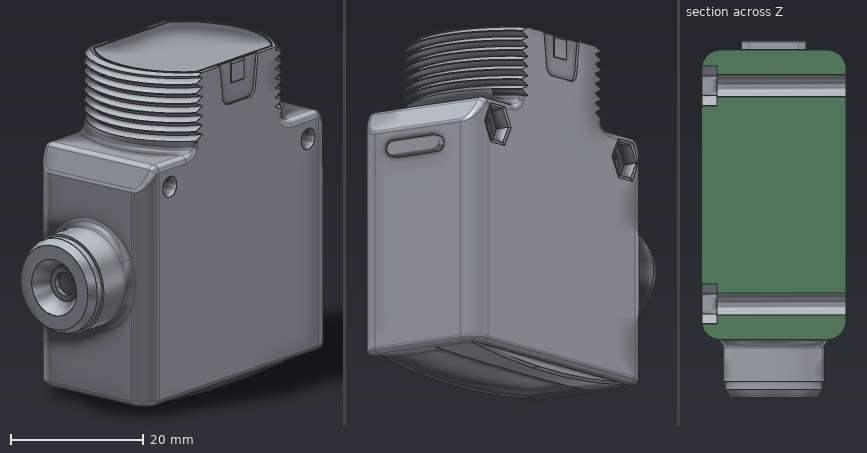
import cadquery as cq
import math

WIDTH = 22.0
LENGTH = 44.0
SHOULDER_Z = 37.85
SLOPE_ANGLE = 30.0
SLOPE_HEIGHT = 3.8
CORNER_RADIUS = 3.0
SHOULDER_RADIUS = 1.1
BOTTOM_RADIUS = 0.8

TOP_Z = 50.3
THREAD_RADIUS = 15.0
THREAD_PITCH = 1.5
THREAD_DEPTH = 0.95
THREAD_START_Z = 39.5
THREAD_CREST = 0.15
NECK_FILLET = 1.0
TOP_CHAMFER = 0.6

THREAD_HALF_TURNS = 14
GROOVE_START_ANGLE = 270.0
GROOVE_START_Z = 40.26
GROOVE_HALF_SPAN = 60.0
GROOVE_CLEARANCE = 0.08
RUN_IN_START_ANGLE = 120.0
RUN_IN_END_ANGLE = 150.0

CAP_RADIUS = 13.45
CAP_WIDTH = 20.0
SEAM = 0.12

POCKET_TOP_WIDTH = 9.1
POCKET_TAPER = 7.0
POCKET_HEIGHT = 6.5
POCKET_DEPTH = 0.4
POCKET_RADIUS = 1.5
TAB_WIDTH = 3.0
TAB_TOP_DROP = 0.35
TAB_BOTTOM_DROP = 3.35
TAB_HEIGHT = 0.2

HOLE_Y = 16.52
HOLE_Z = 34.0
HOLE_DIAMETER = 3.3
NUT_MOUTH_FLATS = 6.1
NUT_FLATS = 5.2
NUT_CHAMFER_DEPTH = 0.15
NUT_DEPTH = 2.4

CONNECTOR_Z = 19.25
CONNECTOR_RADIUS = 7.75
CONNECTOR_LENGTH = 6.3
TIP_RADIUS = 7.4
TIP_END_RADIUS = 6.6
TIP_LENGTH = 1.15
TIP_CHAMFER_LENGTH = 1.3
CONNECTOR_FILLET = 1.2
FUNNEL_OUTER_RADIUS = 4.4
FUNNEL_INNER_RADIUS = 2.7
FUNNEL_DEPTH = 2.5
BORE_RADIUS = 1.85
BORE_DEPTH = 1.0

BUTTON_Z = 30.9
BUTTON_WIDTH = 9.9
BUTTON_HEIGHT = 2.4
BUTTON_PROTRUSION = 1.32
BUTTON_EDGE_RADIUS = 0.2

COVER_WIDTH = 18.1
COVER_HALF_LENGTH = 20.0
COVER_SAG = 1.5
COVER_EDGE_RADIUS = 0.4
RECESS_DEPTH = 0.33
RECESS_RIGHT_X = 8.4
RECESS_LEFT_X = -5.1
RECESS_ARC_RADIUS = 62.0

OVERLAP = 1.0
MARGIN = 0.1
ROOT_DIP = 0.5

HALF_WIDTH = WIDTH / 2
HALF_LENGTH = LENGTH / 2
CONNECTOR_STEP_Y = -HALF_LENGTH - CONNECTOR_LENGTH
CONNECTOR_END_Y = CONNECTOR_STEP_Y - TIP_LENGTH - TIP_CHAMFER_LENGTH
COVER_RADIUS = (COVER_HALF_LENGTH**2 + COVER_SAG**2) / (2 * COVER_SAG)
COVER_AXIS_Z = COVER_RADIUS - COVER_SAG


def cylinder_y(radius, y_start, y_end):
    """Cylinder along Y on the connector axis."""
    return (
        cq.Workplane("XZ", origin=(0, y_start, CONNECTOR_Z))
        .circle(radius)
        .extrude(y_start - y_end)
    )


def flatted_disc(radius, width, z_bottom, z_top):
    """Disc about Z with two flats at X = +-width / 2."""
    height = z_top - z_bottom
    disc = cq.Workplane("XY", origin=(0, 0, z_bottom)).circle(radius).extrude(height)
    slab = cq.Workplane("XY", origin=(0, 0, z_bottom)).rect(width, 2 * radius + OVERLAP).extrude(height)
    return disc.intersect(slab)


def is_rim_edge(edge):
    """True for every edge except the arcs of the neck, which are centred on X = 0."""
    return edge.geomType() != "CIRCLE" or abs(edge.Center().x) > HALF_WIDTH / 2


def housing_block():
    """Rounded block with sloping shoulders and the root of the neck."""
    slope_run = SLOPE_HEIGHT * math.tan(math.radians(SLOPE_ANGLE))
    block = (
        cq.Workplane("XY")
        .rect(WIDTH, LENGTH)
        .extrude(SHOULDER_Z)
        .edges("|Z")
        .fillet(CORNER_RADIUS)
    )
    for side in (-1, 1):
        wedge = (
            cq.Workplane("YZ")
            .moveTo(side * HALF_LENGTH, SHOULDER_Z - SLOPE_HEIGHT)
            .lineTo(side * HALF_LENGTH, SHOULDER_Z)
            .lineTo(side * (HALF_LENGTH - slope_run), SHOULDER_Z)
            .close()
            .extrude(HALF_WIDTH + OVERLAP, both=True)
        )
        block = block.cut(wedge)
    block = block.faces("<Z").edges().fillet(BOTTOM_RADIUS)

    neck_root = flatted_disc(THREAD_RADIUS, WIDTH, SHOULDER_Z - OVERLAP, THREAD_START_Z)
    block = block.union(neck_root).clean()
    root_box = cq.selectors.BoxSelector(
        (-HALF_WIDTH, -THREAD_RADIUS - OVERLAP, SHOULDER_Z - MARGIN),
        (HALF_WIDTH, THREAD_RADIUS + OVERLAP, SHOULDER_Z + MARGIN),
    )
    block = block.edges(root_box).edges("%CIRCLE").fillet(NECK_FILLET)

    rim_box = cq.selectors.BoxSelector(
        (-HALF_WIDTH - OVERLAP, -HALF_LENGTH - OVERLAP, SHOULDER_Z - SLOPE_HEIGHT - MARGIN),
        (HALF_WIDTH + OVERLAP, HALF_LENGTH + OVERLAP, THREAD_START_Z - MARGIN),
    )
    rim = block.edges(rim_box).filter(is_rim_edge)
    return rim.fillet(SHOULDER_RADIUS)


def connector_root(block):
    """Join the connector barrel to the block with a concave fillet."""
    block = block.union(cylinder_y(CONNECTOR_RADIUS, -HALF_LENGTH + CORNER_RADIUS, CONNECTOR_STEP_Y))
    reach = CONNECTOR_RADIUS + MARGIN
    root_box = cq.selectors.BoxSelector(
        (-reach, -HALF_LENGTH - MARGIN, CONNECTOR_Z - reach),
        (reach, -HALF_LENGTH + ROOT_DIP, CONNECTOR_Z + reach),
        boundingbox=True,
    )
    return block.edges(root_box).fillet(CONNECTOR_FILLET)


def connector_tip():
    """Stepped, chamfered tip of the connector."""
    tip = cylinder_y(TIP_RADIUS, CONNECTOR_STEP_Y + OVERLAP, CONNECTOR_END_Y)
    chamfer = TIP_RADIUS - TIP_END_RADIUS
    return tip.faces("<Y").edges().chamfer(TIP_CHAMFER_LENGTH, chamfer)


def connector_bore():
    """Funnel with a narrower blind bore at its floor."""
    floor_y = CONNECTOR_END_Y + FUNNEL_DEPTH
    funnel = (
        cq.Workplane("XZ", origin=(0, CONNECTOR_END_Y, CONNECTOR_Z))
        .circle(FUNNEL_OUTER_RADIUS)
        .workplane(offset=-FUNNEL_DEPTH)
        .circle(FUNNEL_INNER_RADIUS)
        .loft(ruled=True)
    )
    return funnel.union(cylinder_y(BORE_RADIUS, floor_y + BORE_DEPTH, floor_y))


def thread_groove(start_angle, end_angle):
    """Stretch of the right-handed V groove between two angles, in degrees, along the helix."""
    root_radius = THREAD_RADIUS - THREAD_DEPTH
    outer_radius = THREAD_RADIUS + GROOVE_CLEARANCE
    half_mouth = (THREAD_PITCH - THREAD_CREST) / 2
    half_opening = half_mouth * (outer_radius - root_radius) / THREAD_DEPTH
    rise = THREAD_PITCH * (end_angle - start_angle) / 360
    start_z = GROOVE_START_Z + THREAD_PITCH * (start_angle - GROOVE_START_ANGLE) / 360
    helix = cq.Wire.makeHelix(THREAD_PITCH, rise, root_radius)
    return (
        cq.Workplane("XZ")
        .moveTo(root_radius, 0)
        .lineTo(outer_radius, half_opening)
        .lineTo(outer_radius, -half_opening)
        .close()
        .sweep(cq.Workplane(helix), isFrenet=True)
        .rotate((0, 0, 0), (0, 0, 1), start_angle)
        .translate((0, 0, start_z))
    )


def thread():
    """Threaded neck: a chamfered, flatted cylinder with a V groove across each round side."""
    neck = (
        cq.Workplane("XY", origin=(0, 0, THREAD_START_Z))
        .circle(THREAD_RADIUS)
        .extrude(TOP_Z - THREAD_START_Z)
        .faces(">Z")
        .edges()
        .chamfer(TOP_CHAMFER, THREAD_DEPTH)
    )
    neck = neck.intersect(flatted_disc(THREAD_RADIUS + OVERLAP, WIDTH, THREAD_START_Z, TOP_Z))
    neck = neck.cut(thread_groove(RUN_IN_START_ANGLE, RUN_IN_END_ANGLE))
    for half_turn in range(THREAD_HALF_TURNS):
        middle_angle = GROOVE_START_ANGLE + 180 * half_turn
        neck = neck.cut(thread_groove(middle_angle - GROOVE_HALF_SPAN, middle_angle + GROOVE_HALF_SPAN))
    return neck


def cap_seam():
    """Fine groove around the cap in the top face."""
    outer = flatted_disc(CAP_RADIUS + SEAM, CAP_WIDTH + 2 * SEAM, TOP_Z - SEAM, TOP_Z)
    inner = flatted_disc(CAP_RADIUS, CAP_WIDTH, TOP_Z - SEAM, TOP_Z)
    return outer.cut(inner)


def side_pocket(side):
    """Tapered pocket in one flat of the neck, leaving a ramped latch tab inside it."""
    half_top = POCKET_TOP_WIDTH / 2
    half_bottom = half_top - POCKET_HEIGHT * math.tan(math.radians(POCKET_TAPER))
    floor_x = HALF_WIDTH - POCKET_DEPTH
    pocket = (
        cq.Workplane("YZ", origin=(floor_x, 0, TOP_Z))
        .polyline(
            [
                (-half_top, 0),
                (half_top, 0),
                (half_bottom, -POCKET_HEIGHT),
                (-half_bottom, -POCKET_HEIGHT),
            ]
        )
        .close()
        .extrude(POCKET_DEPTH + OVERLAP)
        .edges("|X and <Z")
        .fillet(POCKET_RADIUS)
    )
    tab = (
        cq.Workplane("XZ", origin=(floor_x, TAB_WIDTH / 2, TOP_Z))
        .moveTo(-OVERLAP, 0)
        .lineTo(0, 0)
        .lineTo(TAB_HEIGHT, -TAB_TOP_DROP)
        .lineTo(TAB_HEIGHT, -TAB_BOTTOM_DROP)
        .lineTo(-OVERLAP, -TAB_BOTTOM_DROP)
        .close()
        .extrude(TAB_WIDTH)
    )
    pocket = pocket.cut(tab)
    return pocket if side > 0 else pocket.mirror("YZ")


def mounting_hole(y):
    """Through hole with a hexagonal nut pocket that has a chamfered mouth in the -X face."""
    corner_ratio = 1 / math.cos(math.pi / 6)
    hole = (
        cq.Workplane("YZ", origin=(-HALF_WIDTH, y, HOLE_Z))
        .circle(HOLE_DIAMETER / 2)
        .extrude(WIDTH)
    )
    mouth = (
        cq.Workplane("YZ", origin=(-HALF_WIDTH, y, HOLE_Z))
        .polygon(6, NUT_MOUTH_FLATS * corner_ratio)
        .workplane(offset=NUT_CHAMFER_DEPTH)
        .polygon(6, NUT_FLATS * corner_ratio)
        .loft(ruled=True)
    )
    nut = (
        cq.Workplane("YZ", origin=(-HALF_WIDTH, y, HOLE_Z))
        .polygon(6, NUT_FLATS * corner_ratio)
        .extrude(NUT_DEPTH)
    )
    return hole.union(nut).union(mouth)


def button():
    """Stadium-shaped button with a softened outer edge."""
    return (
        cq.Workplane("XZ", origin=(0, HALF_LENGTH - OVERLAP, BUTTON_Z))
        .slot2D(BUTTON_WIDTH, BUTTON_HEIGHT)
        .extrude(-(BUTTON_PROTRUSION + OVERLAP))
        .faces(">Y")
        .edges()
        .fillet(BUTTON_EDGE_RADIUS)
    )


def cover_drum(radius, width):
    """Drum about the X-parallel axis of the cover's curvature."""
    return (
        cq.Workplane("YZ", origin=(-width / 2, 0, COVER_AXIS_Z))
        .circle(radius)
        .extrude(width)
    )


def bottom_cover():
    """Curved cover with a shallow recess that keeps a rim on +X and a crescent on -X."""
    below_bottom = cq.Workplane("XY").rect(WIDTH, LENGTH).extrude(-2 * COVER_SAG)
    cover = cover_drum(COVER_RADIUS, COVER_WIDTH).edges().fillet(COVER_EDGE_RADIUS)
    arc_end_x = RECESS_LEFT_X + RECESS_ARC_RADIUS - math.sqrt(RECESS_ARC_RADIUS**2 - HALF_LENGTH**2)
    recess = (
        cq.Workplane("XY")
        .moveTo(arc_end_x, -HALF_LENGTH)
        .lineTo(RECESS_RIGHT_X, -HALF_LENGTH)
        .lineTo(RECESS_RIGHT_X, HALF_LENGTH)
        .lineTo(arc_end_x, HALF_LENGTH)
        .threePointArc((RECESS_LEFT_X, 0), (arc_end_x, -HALF_LENGTH))
        .close()
        .extrude(-2 * COVER_SAG)
        .cut(cover_drum(COVER_RADIUS - RECESS_DEPTH, WIDTH))
    )
    return cover.intersect(below_bottom).cut(recess)


result = connector_root(housing_block())
result = result.union(thread()).union(connector_tip()).union(button()).union(bottom_cover())
result = result.cut(cap_seam()).cut(connector_bore())
for side in (-1, 1):
    result = result.cut(side_pocket(side)).cut(mounting_hole(side * HOLE_Y))